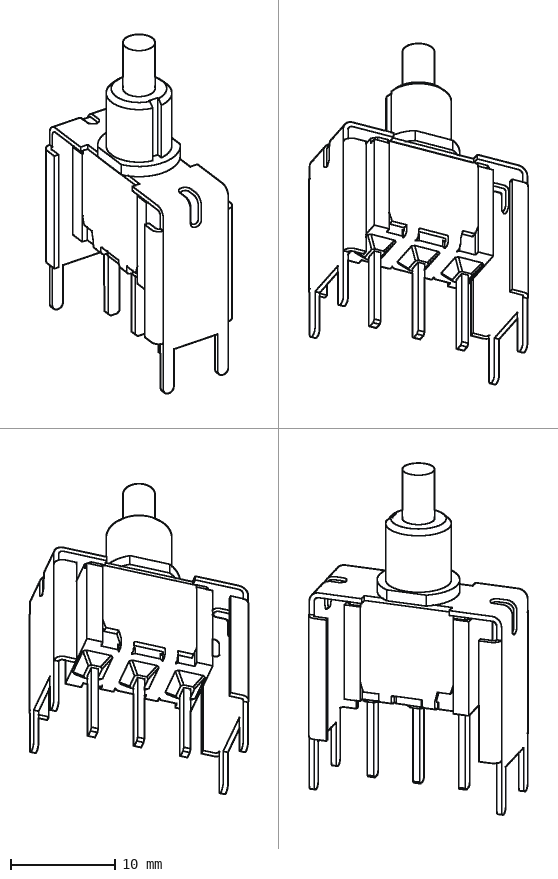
import cadquery as cq
import math


bracket_length = 19.55
bracket_width = 7.5
bracket_top = 20.63
sheet = 0.5
top_bend_radius = 1.0
waist_half_length = 4.45
waist_width = 5.85
leg_width = 1.23
crotch_height = 4.72
wing_outer_width = 9.15
wing_bottom = 5.75
wing_top = 18.27
wing_length = 2.03
wing_bend_radius = 0.83
rib_width = 1.25
rib_depth = 0.23
rib_slope = 0.2
rib_reach_top = 2.45
rib_reach_side = 3.15

body_length = 12.65
body_width = 6.78
body_bottom = 9.83
body_shoulder = 19.6
body_top = bracket_top - sheet
neck_setback = 0.25
neck_corner = 0.5
cover_half_length = 4.72
cover_face = 3.35
base_face = 2.8
cover_bend_radius = 0.5
tab_inner = 1.55
tab_outer = 2.85
low_cutout_top = 10.83
high_cutout_top = 11.83
cutout_round = 0.15
high_cutout_slope = 0.25
left_slant_top = 12.72
right_slant_top = 11.73
slant_run = 0.3
pocket_inner = 1.25
pocket_outer = 3.05
pocket_top = 10.53
pocket_depth = 0.23

terminal_pitch = 4.65
terminal_thickness = 0.7
terminal_width = 1.3
terminal_bottom = 0.83
terminal_chamfer = 0.25
seal_length = 3.0
seal_width = 3.6
seal_corner = 0.23
seal_height = 1.0
seal_inset = 0.8

flange_diameter = 7.95
flange_flats = 6.85
flange_top = 21.75
spigot_diameter = 4.65
bushing_diameter = 6.3
bushing_top = 28.1
bushing_chamfer = 0.5
keyway_width = 1.0
keyway_floor = 2.45
plunger_diameter = 3.1
plunger_top = 33.22

half_length = bracket_length / 2


def block(x_min, x_max, y_min, y_max, z_min, z_max):
    """Box between the given limits."""
    return cq.Workplane("XY").box(
        x_max - x_min, y_max - y_min, z_max - z_min, centered=False
    ).translate((x_min, y_min, z_min))



def channel(inset):
    """Solid block with rounded top edges, lying the given inset inside the outer surface."""
    x = half_length - inset
    solid = block(-x, x, -bracket_width / 2, bracket_width / 2, 0, bracket_top - inset)
    return solid.edges("|Y and >Z").fillet(top_bend_radius - inset)


def leg_gap(side):
    """Opening between the two legs of one side plate, with the rounded leg tips trimmed."""
    half_gap = bracket_width / 2 - leg_width
    x = side * (half_length - sheet / 2)
    gap = block(x - sheet, x + sheet, -half_gap, half_gap, 0, crotch_height)
    tip_radius = leg_width / 2
    for y_side in (-1, 1):
        y = y_side * (bracket_width / 2 - tip_radius)
        corner = block(x - sheet, x + sheet, y - tip_radius, y + tip_radius, 0, tip_radius)
        tip = (
            cq.Workplane("YZ").center(y, tip_radius).circle(tip_radius)
            .extrude(2 * sheet).translate((x - sheet, 0, 0))
        )
        gap = gap.union(corner.cut(tip))
    return gap


def wing(side, y_side):
    """Edge wing folded inwards from a side plate."""
    start_y = wing_outer_width / 2 - wing_bend_radius
    bend_x = half_length - wing_bend_radius
    inner_radius = wing_bend_radius - sheet
    diagonal = math.sqrt(0.5)
    end_x = half_length - wing_length
    profile = (
        cq.Workplane("XY")
        .moveTo(half_length, start_y)
        .threePointArc(
            (bend_x + wing_bend_radius * diagonal, start_y + wing_bend_radius * diagonal),
            (bend_x, wing_outer_width / 2),
        )
        .lineTo(end_x, wing_outer_width / 2)
        .lineTo(end_x, wing_outer_width / 2 - sheet)
        .lineTo(bend_x, wing_outer_width / 2 - sheet)
        .threePointArc(
            (bend_x + inner_radius * diagonal, start_y + inner_radius * diagonal),
            (bend_x + inner_radius, start_y),
        )
        .close()
        .extrude(wing_top - wing_bottom)
        .translate((0, 0, wing_bottom))
    )
    if side < 0:
        profile = profile.mirror("YZ")
    if y_side < 0:
        profile = profile.mirror("XZ")
    return profile


def rib_layer(inset):
    """Right-hand corner rib with sloping walls and round ends, sunk from the given inset."""
    half_mouth = rib_width / 2
    half_floor = half_mouth - rib_slope
    bend_x = half_length - top_bend_radius
    bend_z = bracket_top - top_bend_radius
    mouth_radius = top_bend_radius - inset
    floor_radius = mouth_radius - rib_depth

    def section():
        return cq.Workplane("YZ").polyline([
            (-half_mouth, mouth_radius), (half_mouth, mouth_radius),
            (half_floor, floor_radius), (-half_floor, floor_radius),
        ]).close()

    def arm(length):
        run = length - top_bend_radius - half_mouth
        end = cq.Workplane("XZ").polyline([
            (0, mouth_radius), (half_mouth, mouth_radius),
            (half_floor, floor_radius), (0, floor_radius),
        ]).close().revolve(360, (0, 0), (0, 1))
        return section().extrude(-run).union(end.translate((-run, 0, 0)))

    bend = section().revolve(90, (0, 0), (1, 0))
    top_arm = arm(rib_reach_top)
    side_arm = arm(rib_reach_side).rotate((0, 0, 0), (1, 0, 1), 180)
    return top_arm.union(bend).union(side_arm).translate((bend_x, 0, bend_z))


def make_bracket():
    plate = channel(0).cut(channel(sheet))
    ridge = rib_layer(sheet)
    groove = rib_layer(0)
    plate = plate.union(ridge).union(ridge.mirror("YZ"))
    plate = plate.cut(groove).cut(groove.mirror("YZ"))
    waist_notch = block(-waist_half_length, waist_half_length, waist_width / 2, bracket_width / 2,
                        body_top, bracket_top)
    plate = plate.cut(waist_notch).cut(waist_notch.mirror("XZ"))
    for side in (-1, 1):
        plate = plate.cut(leg_gap(side))
        for y_side in (-1, 1):
            plate = plate.union(wing(side, y_side))
    hole = cq.Workplane("XY").circle(spigot_diameter / 2).extrude(bracket_top)
    return plate.cut(hole)



def make_cover():
    """Cover folded over the base, with its lower edge cut into two tabs."""
    x = cover_half_length
    cover = block(-x, x, -cover_face, cover_face, body_bottom, body_top)
    cover = cover.edges("|X").fillet(cover_bend_radius)
    deep = 2 * cover_face

    def cutter(points):
        return cq.Workplane("XZ").polyline(points).close().extrude(deep, both=True)

    left = cutter([
        (-x, body_bottom), (-x, left_slant_top), (-x + slant_run, high_cutout_top),
        (-tab_outer - high_cutout_slope, high_cutout_top), (-tab_outer, low_cutout_top),
        (-tab_outer, body_bottom),
    ])
    middle = cutter([
        (-tab_inner, body_bottom), (-tab_inner, low_cutout_top),
        (tab_inner, low_cutout_top), (tab_inner, body_bottom),
    ]).edges("|Y and >Z").fillet(cutout_round)
    right = cutter([
        (tab_outer, body_bottom), (tab_outer, low_cutout_top),
        (x - slant_run, low_cutout_top), (x, right_slant_top), (x, body_bottom),
    ])
    return cover.cut(left).cut(middle).cut(right)


def make_base():
    """Moulded base with end blocks, a recessed middle and a neck on top."""
    base = block(-body_length / 2, body_length / 2, -body_width / 2, body_width / 2,
                 body_bottom, body_shoulder)
    neck_y = body_width / 2 - neck_setback
    neck = block(-body_length / 2, body_length / 2, -neck_y, neck_y, body_bottom, body_top)
    base = base.union(neck.edges("|Z").chamfer(neck_corner))
    recess = block(-cover_half_length, cover_half_length, base_face, body_width,
                   body_bottom, body_top)
    pocket = (
        cq.Workplane("XY")
        .polyline([
            (pocket_inner, base_face), (tab_inner, base_face - pocket_depth),
            (tab_outer, base_face - pocket_depth), (pocket_outer, base_face),
        ])
        .close()
        .extrude(pocket_top - body_bottom)
        .translate((0, 0, body_bottom))
    )
    front = recess.union(pocket).union(pocket.mirror("YZ"))
    return base.cut(front).cut(front.mirror("XZ"))


def make_terminal(x):
    """Flat solder pin with its tapered seal."""
    pin = block(x - terminal_thickness / 2, x + terminal_thickness / 2,
                -terminal_width / 2, terminal_width / 2, terminal_bottom, body_bottom)
    pin = pin.edges("|X and <Z").chamfer(terminal_chamfer)
    upper = cq.Sketch().rect(seal_length, seal_width).vertices().chamfer(seal_corner)
    lower = (
        cq.Sketch().rect(seal_length - 2 * seal_inset, seal_width - 2 * seal_inset)
        .vertices().chamfer(seal_corner)
    )
    drop = cq.Location(cq.Vector(0, 0, -seal_height))
    seal = (
        cq.Workplane("XY").placeSketch(upper, lower.moved(drop))
        .loft()
        .translate((x, 0, body_bottom))
    )
    return pin.union(seal)


def cylinder(diameter, z_min, z_max):
    """Upright cylinder on the plunger axis."""
    return cq.Workplane("XY").circle(diameter / 2).extrude(z_max - z_min).translate((0, 0, z_min))


def make_bushing():
    """Spigot, flange with two flats, keyed bushing and plunger."""
    spigot = cylinder(spigot_diameter, body_top, bracket_top)
    flats = block(-flange_diameter, flange_diameter, -flange_flats / 2, flange_flats / 2,
                  bracket_top, flange_top)
    flange = cylinder(flange_diameter, bracket_top, flange_top).intersect(flats)
    bushing = cylinder(bushing_diameter, flange_top, bushing_top)
    bushing = bushing.faces(">Z").chamfer(bushing_chamfer)
    keyway = block(keyway_floor, bushing_diameter, -keyway_width / 2, keyway_width / 2,
                   flange_top, bushing_top)
    plunger = cylinder(plunger_diameter, bushing_top, plunger_top)
    return spigot.union(flange).union(bushing.cut(keyway)).union(plunger)


def make_switch():
    switch = make_base().union(make_cover()).union(make_bushing())
    for position in (-1, 0, 1):
        switch = switch.union(make_terminal(position * terminal_pitch))
    return switch


bracket = make_bracket()
switch = make_switch()
result = cq.Compound.makeCompound([*bracket.solids().vals(), *switch.solids().vals()])